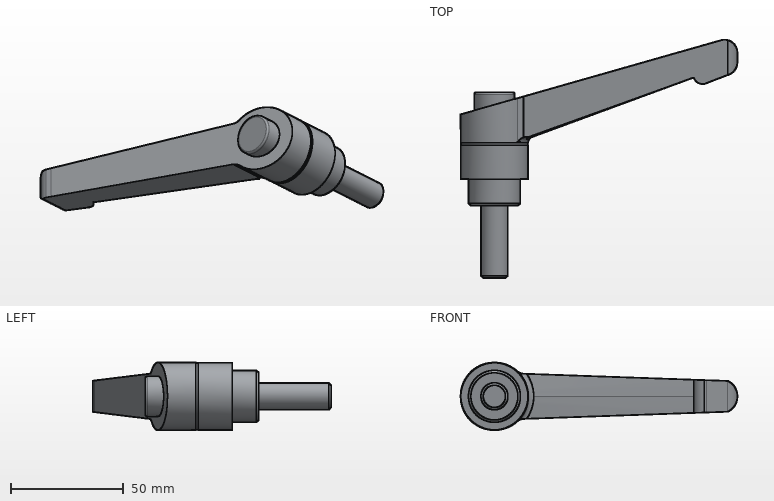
import cadquery as cq
import math


stud_radius = 6.0
collar_radius = 11.6
hub_radius = 15.08
lower_hub_radius = 15.0
stud_length = 32.1
collar_length = 11.8
collar_end = stud_length + collar_length
edge_chamfer = 1.1
seam_start = 59.1
seam_width = 1.1
seam_end = seam_start + seam_width
seam_radius = 14.9
hub_blank_end = 86.2

button_radius = 9.0
button_top = 82.6
button_fillet = 0.9

root_x = 12.7
root_half_width = 10.1
cap_start_x = 103.7
cap_half_width = 6.9
overall_length = 123.1
lever_tip_x = overall_length - hub_radius
root_fillet = 4.2

top_edge_y = 72.8
top_angle = 15.9
underside_y = 62.7
root_underside_x = 16.7
underside_angle = 20.2
ridge_start_x = 14.5
edge_rise = 0.6
edge_rise_at_notch = 0.02
flare_radius = 17.5
flare_end = 62.8
flare_middle = (15.8, 62.0)
flare_top = 66.5
notch_x = 88.5
lobe_bottom = (93.3, 86.2)
lobe_middle = (90.4, 86.8)
lobe_end = (94.2, 86.5)
tip_lower = (103.4, 90.1)
tip_lower_middle = (107.1, 92.8)
tip_side_low = (lever_tip_x, 96.4)
tip_side_high = (lever_tip_x, 100.2)
tip_upper_middle = (106.0, 104.5)
tip_top = (101.7, 106.0)
tip_tangent_x = 99.2


def top_y(x):
    """Height of the sloping top face."""
    return top_edge_y + (x + hub_radius) * math.tan(math.radians(top_angle))


def underside(x):
    """Height of the lever underside."""
    return underside_y + (x - root_underside_x) * math.tan(math.radians(underside_angle))


def cylinder(radius, start, end):
    """Cylinder on the clamp axis between two Y positions."""
    return cq.Workplane("XZ", origin=(0, start, 0)).circle(radius).extrude(start - end)


def lever_profile():
    """Side outline of the lever, starting on the clamp axis."""
    return (
        cq.Workplane("XY")
        .moveTo(0, underside(0))
        .lineTo(notch_x, underside(notch_x))
        .threePointArc(lobe_middle, lobe_bottom)
        .lineTo(*lobe_end)
        .lineTo(*tip_lower)
        .threePointArc(tip_lower_middle, tip_side_low)
        .lineTo(*tip_side_high)
        .threePointArc(tip_upper_middle, tip_top)
        .lineTo(tip_tangent_x, top_y(tip_tangent_x))
        .lineTo(0, top_y(0))
        .close()
        .extrude(hub_radius, both=True)
    )


def lever_plan():
    """Tapered outline of the lever along the clamp axis, with a rounded end."""
    return (
        cq.Workplane("XZ")
        .moveTo(0, -root_half_width)
        .lineTo(root_x, -root_half_width)
        .lineTo(cap_start_x, -cap_half_width)
        .threePointArc((lever_tip_x, 0), (cap_start_x, cap_half_width))
        .lineTo(root_x, root_half_width)
        .lineTo(0, root_half_width)
        .close()
        .extrude(-button_top * 2)
    )


def root_web(side):
    """Concave blend between the hub wall and one flank of the lever."""
    centre_z = root_half_width + root_fillet
    reach = hub_radius + root_fillet
    centre_x = math.sqrt(reach**2 - centre_z**2)
    contact = (centre_x * hub_radius / reach, side * centre_z * hub_radius / reach)
    to_hub = math.atan2(-centre_z, -centre_x)
    middle_angle = (to_hub - math.pi / 2) / 2
    middle = (
        centre_x + root_fillet * math.cos(middle_angle),
        side * (centre_z + root_fillet * math.sin(middle_angle)),
    )
    flank = (centre_x, side * root_half_width)
    return (
        cq.Workplane("XZ").moveTo(0, 0).lineTo(*contact)
        .threePointArc(middle, flank).close().extrude(-button_top * 2)
    )


def underside_ridge_cut(side):
    """Wedge that slopes half of the underside up from its middle ridge."""
    def section(x, rise):
        y = underside(x)
        return cq.Wire.makePolygon([
            cq.Vector(x, y, 0),
            cq.Vector(x, y + rise, side * root_half_width),
            cq.Vector(x, y - rise, side * root_half_width),
        ], close=True)

    start = section(ridge_start_x, edge_rise)
    end = section(notch_x, edge_rise_at_notch)
    return cq.Workplane(obj=cq.Solid.makeLoft([start, end], True))


def root_flare():
    """Turned blend that carries the lever underside into the hub wall."""
    return (
        cq.Workplane("XY").moveTo(0, seam_end).lineTo(hub_radius, seam_end)
        .threePointArc(flare_middle, (flare_radius, flare_end))
        .lineTo(flare_radius, flare_top).lineTo(0, flare_top).close()
        .revolve(360, (0, 0, 0), (0, 1, 0))
    )


stud = cylinder(stud_radius, 0, collar_end).faces("<Y").chamfer(edge_chamfer)
collar = cylinder(collar_radius, stud_length, collar_end).faces("<Y").chamfer(edge_chamfer)
button = cylinder(button_radius, collar_end, button_top).faces(">Y").edges().fillet(button_fillet)

below_top_face = (
    cq.Workplane("XY")
    .polyline([
        (-hub_radius, 0), (hub_radius, 0),
        (hub_radius, top_y(hub_radius)), (-hub_radius, top_y(-hub_radius)),
    ])
    .close().extrude(hub_radius, both=True)
)
upper_hub = cylinder(hub_radius, seam_end, hub_blank_end).intersect(below_top_face)
seam = cylinder(seam_radius, seam_start, seam_end)
lower_hub = cylinder(lower_hub_radius, collar_end, seam_start)

plan = lever_plan().union(root_web(1)).union(root_web(-1))
lever = lever_profile().intersect(plan)
for side in (1, -1):
    lever = lever.cut(underside_ridge_cut(side))
lever = lever.cut(cylinder(flare_radius, collar_end, flare_top))
lever = lever.union(root_flare().intersect(plan))
result = lower_hub.union(seam).union(upper_hub).union(lever).union(collar).union(stud).union(button)